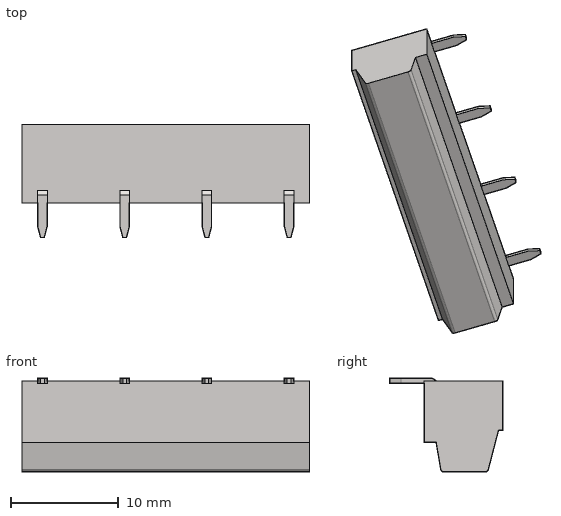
import cadquery as cq

PITCH = 7.62
PIN_COUNT = 4
END_MARGIN = PITCH / 4
LENGTH = (PIN_COUNT - 1) * PITCH + 2 * END_MARGIN
DEPTH = 7.3
HEIGHT = 8.45

FRONT_SHOULDER_DROP = 5.7
BACK_SHOULDER_DROP = 4.6
FRONT_SHOULDER_DEPTH = 1.1
BACK_SHOULDER_DEPTH = 0.4
FRONT_FOOT_INSET = 1.57
BACK_FOOT_INSET = 1.4
FOOT_RADIUS = 0.3

PIN_WIDTH = 0.9
PIN_TIP_WIDTH = 0.35
PIN_THICKNESS = 0.5
PIN_RISE = PIN_THICKNESS / 2
PIN_REACH = 3.2
PIN_OVERLAP = 1.15
PIN_TAPER_LENGTH = 1.05
PIN_BEVEL_LENGTH = 0.4


def make_housing():
    """Stepped body with a narrowing foot whose two lower edges are rounded."""
    front_shoulder_z = HEIGHT - FRONT_SHOULDER_DROP
    back_shoulder_z = HEIGHT - BACK_SHOULDER_DROP
    profile = [
        (0, HEIGHT),
        (0, front_shoulder_z),
        (FRONT_SHOULDER_DEPTH, front_shoulder_z),
        (FRONT_FOOT_INSET, 0),
        (DEPTH - BACK_FOOT_INSET, 0),
        (DEPTH - BACK_SHOULDER_DEPTH, back_shoulder_z),
        (DEPTH, back_shoulder_z),
        (DEPTH, HEIGHT),
    ]
    body = cq.Workplane("YZ").polyline(profile).close().extrude(LENGTH / 2, both=True)
    return body.faces("<Z").edges("|X").fillet(FOOT_RADIUS)


def make_pin(x):
    """Flat pin centred at x, pointed in plan and bevelled at its housing end."""
    top_z = HEIGHT + PIN_RISE
    bottom_z = top_z - PIN_THICKNESS
    side_profile = [
        (-PIN_REACH, bottom_z),
        (-PIN_REACH, top_z),
        (PIN_OVERLAP - PIN_BEVEL_LENGTH, top_z),
        (PIN_OVERLAP, HEIGHT),
        (PIN_OVERLAP, bottom_z),
    ]
    bar = cq.Workplane("YZ").polyline(side_profile).close().extrude(PIN_WIDTH / 2, both=True)

    taper_start = PIN_TAPER_LENGTH - PIN_REACH
    plan_outline = [
        (-PIN_WIDTH / 2, PIN_OVERLAP),
        (-PIN_WIDTH / 2, taper_start),
        (-PIN_TIP_WIDTH / 2, -PIN_REACH),
        (PIN_TIP_WIDTH / 2, -PIN_REACH),
        (PIN_WIDTH / 2, taper_start),
        (PIN_WIDTH / 2, PIN_OVERLAP),
    ]
    plan = (
        cq.Workplane("XY")
        .workplane(offset=bottom_z)
        .polyline(plan_outline)
        .close()
        .extrude(PIN_THICKNESS)
    )
    return bar.intersect(plan).translate((x, 0, 0))


result = make_housing()
first_pin_x = -LENGTH / 2 + END_MARGIN
for index in range(PIN_COUNT):
    result = result.union(make_pin(first_pin_x + index * PITCH))